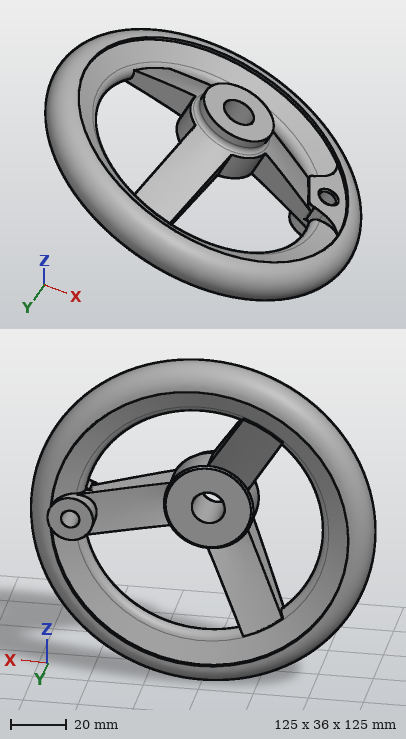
import cadquery as cq
import math


wheel_radius = 62.5
rim_radius = 8.0
rim_center_radius = wheel_radius - rim_radius
step_radius = 54.1
step_y = 6.7
lip_half_width = 3.5
rim_inner_radius = 43.5
lip_outer_radius = 46.2

hub_radius = 16.2
hub_face_radius = 14.0
shoulder_radius = 15.2
hub_front_y = -28.0
neck_y = -24.6
shoulder_y = -22.2
hub_back_y = -10.0
hub_chamfer = 0.7
bore_diameter = 12.0

spoke_angles = (0, 120, 240)
spoke_width = 17.0
spoke_tip_width = 16.2
spoke_end = 45.6
spoke_back_y = hub_back_y - hub_chamfer
front_slope = 0.68
back_slope = 0.51

seat_x = 46.9
seat_inner_x = 39.1
seat_half_width = 8.4
seat_corner = 2.1
boss_radius = 8.2
handle_hole_diameter = 6.6
handle_chamfer_diameter = 8.0


def make_rim():
    section = (
        cq.Workplane("XY")
        .moveTo(rim_center_radius, -rim_radius)
        .threePointArc((wheel_radius, 0), (rim_center_radius, rim_radius))
        .lineTo(step_radius, rim_radius)
        .lineTo(step_radius, step_y)
        .lineTo(lip_outer_radius, lip_half_width)
        .threePointArc((rim_inner_radius, 0), (lip_outer_radius, -lip_half_width))
        .lineTo(step_radius, -step_y)
        .lineTo(step_radius, -rim_radius)
        .close()
    )
    return section.revolve(360, (0, 0, 0), (0, 1, 0))


def make_hub_and_spokes():
    """Turn a full conical web with its hub, then keep only the hub disc and the three spokes."""
    shoulder_rim_y = shoulder_y + front_slope * (hub_radius - shoulder_radius)
    spoke_run = spoke_end - hub_radius
    fillet_middle = (
        hub_face_radius + (shoulder_radius - hub_face_radius) * (1 - math.sqrt(0.5)),
        neck_y + (shoulder_y - neck_y) * math.sqrt(0.5),
    )
    turned = (
        cq.Workplane("XY")
        .moveTo(0, hub_front_y)
        .lineTo(hub_face_radius, hub_front_y)
        .lineTo(hub_face_radius, neck_y)
        .threePointArc(fillet_middle, (shoulder_radius, shoulder_y))
        .lineTo(spoke_end, shoulder_rim_y + front_slope * spoke_run)
        .lineTo(spoke_end, spoke_back_y + back_slope * spoke_run)
        .lineTo(hub_radius, spoke_back_y)
        .lineTo(hub_radius - hub_chamfer, hub_back_y)
        .lineTo(0, hub_back_y)
        .close()
        .revolve(360, (0, 0, 0), (0, 1, 0))
    )
    footprint = cq.Workplane("XZ").circle(hub_radius).extrude(wheel_radius, both=True)
    spoke = (
        cq.Workplane("XZ")
        .polyline([
            (0, -spoke_width / 2),
            (wheel_radius, -spoke_tip_width / 2),
            (wheel_radius, spoke_tip_width / 2),
            (0, spoke_width / 2),
        ])
        .close()
        .extrude(wheel_radius, both=True)
    )
    for angle in spoke_angles:
        footprint = footprint.union(spoke.rotate((0, 0, 0), (0, 1, 0), angle))
    return turned.intersect(footprint)


def make_seat():
    corner_sag = seat_corner * (1 - math.sqrt(0.5))
    corner_middle = (seat_inner_x + corner_sag, seat_half_width - corner_sag)
    flare_start = (seat_inner_x + seat_corner, seat_half_width)
    flare_neck = (44.7, 10.2)
    flare_middle = (48.7, 14.0)
    flare_end = (40.3, 19.6)

    def mirrored(point):
        return (point[0], -point[1])

    outer_x = math.sqrt(step_radius**2 - flare_end[1]**2)
    pad = (
        cq.Workplane("XZ", origin=(0, -step_y, 0))
        .moveTo(seat_inner_x, seat_corner - seat_half_width)
        .lineTo(seat_inner_x, seat_half_width - seat_corner)
        .threePointArc(corner_middle, flare_start)
        .lineTo(*flare_neck)
        .threePointArc(flare_middle, (outer_x, flare_end[1]))
        .threePointArc((step_radius, 0), (outer_x, -flare_end[1]))
        .threePointArc(mirrored(flare_middle), mirrored(flare_neck))
        .lineTo(*mirrored(flare_start))
        .threePointArc(mirrored(corner_middle), (seat_inner_x, seat_corner - seat_half_width))
        .close()
        .extrude(-step_y)
    )
    boss = cq.Workplane("XZ").center(seat_x, 0).circle(boss_radius).extrude(-rim_radius)
    return pad.union(boss)


def make_handle_hole():
    chamfer = (handle_chamfer_diameter - handle_hole_diameter) / 2
    hole = (
        cq.Workplane("XZ", origin=(seat_x, 0, 0))
        .circle(handle_hole_diameter / 2)
        .extrude(wheel_radius, both=True)
    )
    countersink = cq.Solid.makeCone(
        handle_chamfer_diameter / 2,
        handle_hole_diameter / 2,
        chamfer,
        cq.Vector(seat_x, -step_y, 0),
        cq.Vector(0, 1, 0),
    )
    return hole.union(cq.Workplane(obj=countersink))


bore = cq.Workplane("XZ").circle(bore_diameter / 2).extrude(wheel_radius, both=True)

result = make_rim().union(make_hub_and_spokes()).union(make_seat())
result = result.cut(bore).cut(make_handle_hole())